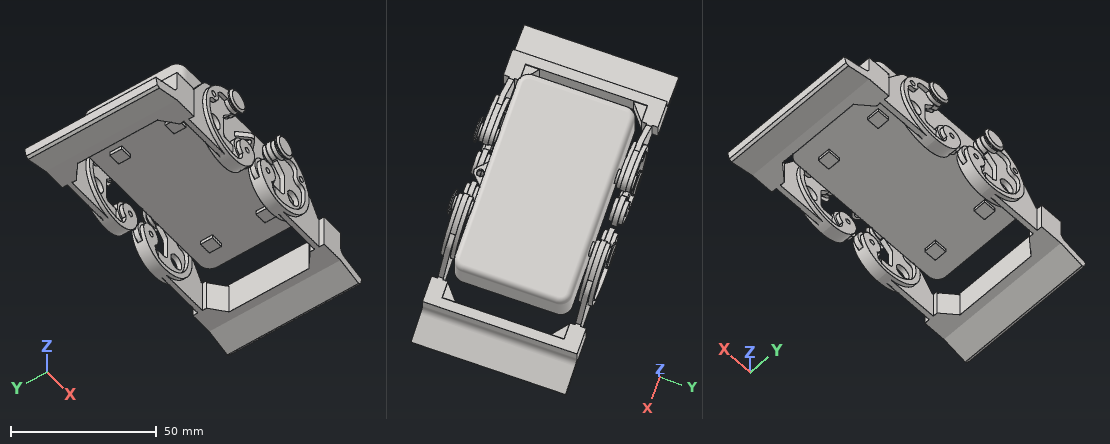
import cadquery as cq
import math


UP = 90
LEFT = 180
DOWN = -90
FULL_TURN = 360

hood_length = 73.4
hood_width = 42.9
hood_bottom = 16.7
hood_top = 34.5
hood_corner_radius = 4.4
hood_top_radius = 2.1

wall_overlap = 1.2

foot_width = 5.1
foot_length = 5.1
foot_height = 1.5
foot_x = 26.0
foot_y = 11.8

eye_bottom = 22.3
eye_thickness = 2.2
eye_half_width = 5.1
eye_tip_radius = 1.8
eye_hole_radius = 1.3
eye_hole_offset = 1.9

handle_half_length = 59.2
handle_width = 56.2
bar_outer = 47.0
bar_inner = 43.5
arm_end = 37.4
arm_inner_y = 22.1
handle_height = 13.9
grip_angle = math.radians(15)
grip_thickness = 4.1
grip_tip_chamfer = 1.0
grip_root_height = 4.3
grip_root_radius = 3.1
gusset_length = 5.1
gusset_drop = 1.0

lever_y = 25.0
plate_thickness = 2.0
rim_thickness = 5.1

disc_x = -13.5
disc_z = 15.6
disc_radius = 16.0
rim_inner_radius = 13.9
disc_bottom = disc_z - disc_radius

pin_z = 27.8
pin_radius = 2.6
pin_head_radius = 4.6
pin_head_thickness = 1.1
pin_head_chamfer_height = 0.6
pin_head_chamfer_width = 1.0
pin_end_y = 29.5
rim_pin_radius = disc_z + disc_radius - pin_z
plate_step = 0.4

roller_x = -5.9
roller_z = 10.4
roller_hole_radius = 1.1
plate_roller_radius = 5.5
rim_roller_radius = 4.3

large_hole = (-22.5, 11.6)
large_hole_radius = 3.1
small_hole = (-25.1, 22.4)
small_hole_radius = 1.12

slope_foot_x = -36.9
shoulder = (-28.3, 26.5)
shoulder_radius = 4.6
ridge_angle = 131
window_x = -17.5
window_bottom = 8.5
window_corner_radius = 1.9
window_slope_start = 19.0
window_slope_end = (-13.3, 22.8)
window_inner_x = -12.0

roller_dx = roller_x - disc_x
roller_rise = roller_z - disc_bottom
hook_radius = (roller_dx**2 + roller_rise**2 - rim_roller_radius**2) / (
    2 * (roller_rise - rim_roller_radius)
)
hook_center_z = disc_bottom + hook_radius

hook_inner_low = (-12.4, 1.8)
hook_inner_mid = (-9.5, 3.3)
hook_inner_end = (-8.6, 6.6)

rim_arc_end_angle = 172.5
rim_shelf_corner = (-26.6, 19.2)
rim_shelf_end = (-25.2, 19.8)
rim_cove_mid = (-23.1, 20.7)
rim_cove_end = (-22.5, 22.7)
rim_top_corner = (-21.7, 26.0)
rim_top_end = (-20.1, 26.6)


def disc_point(radius, degrees):
    """Point about the centre of the lever round, angle from +X towards +Z."""
    a = math.radians(degrees)
    return (disc_x + radius * math.cos(a), disc_z + radius * math.sin(a))


def hook_point(degrees):
    """Point on the outer curve of the hook."""
    a = math.radians(degrees)
    return (disc_x + hook_radius * math.cos(a), hook_center_z + hook_radius * math.sin(a))


def layer(sketch, thickness):
    """Extrude an XZ outline evenly about the middle plane of the front lever."""
    return sketch.extrude(thickness / 2, both=True).translate((0, -lever_y, 0))


def lever_cylinder(center, radius, thickness):
    return layer(cq.Workplane("XZ").center(*center).circle(radius), thickness)


def hook_outline(sketch):
    """Continue an outline from the lowest rim point round the hook to its inner edge."""
    end_angle = math.degrees(math.atan2(roller_z - hook_center_z, roller_dx))
    return (
        sketch.threePointArc(hook_point((end_angle + DOWN) / 2), hook_point(end_angle))
        .lineTo(roller_x, roller_z)
        .lineTo(*hook_inner_end)
        .threePointArc(hook_inner_mid, hook_inner_low)
    )


def make_hood():
    hood = (
        cq.Workplane("XY")
        .workplane(offset=hood_bottom)
        .rect(hood_length, hood_width)
        .extrude(hood_top - hood_bottom)
        .edges("|Z")
        .fillet(hood_corner_radius)
        .faces(">Z")
        .edges()
        .fillet(hood_top_radius)
    )
    feet = (
        cq.Workplane("XY")
        .workplane(offset=hood_bottom - foot_height)
        .rect(2 * foot_x, 2 * foot_y, forConstruction=True)
        .vertices()
        .rect(foot_length, foot_width)
        .extrude(foot_height)
    )
    return hood.union(feet)


def make_eye():
    wall_y = -hood_width / 2
    root_y = wall_y + wall_overlap
    eye = (
        cq.Workplane("XY")
        .workplane(offset=eye_bottom)
        .moveTo(-eye_half_width, root_y)
        .lineTo(-eye_half_width, wall_y)
        .lineTo(0, wall_y - eye_half_width)
        .lineTo(eye_half_width, wall_y)
        .lineTo(eye_half_width, root_y)
        .close()
        .extrude(eye_thickness)
        .edges("|Z and <Y")
        .fillet(eye_tip_radius)
    )
    hole = (
        cq.Workplane("XY")
        .workplane(offset=eye_bottom)
        .center(0, wall_y - eye_hole_offset)
        .circle(eye_hole_radius)
        .extrude(eye_thickness)
    )
    return eye.cut(hole)


def fillet_corner(solid, corner, radius):
    """Round the edge along Y that stands on an XZ corner."""
    near_corner = cq.NearestToPointSelector((corner[0], -lever_y, corner[1]))
    return solid.edges("|Y").edges(near_corner).fillet(radius)


def make_plate():
    """Thin plate that carries the rim and reaches the handle."""
    plate_top_radius = disc_radius + plate_step
    foot_dx = math.sqrt(disc_radius**2 - disc_z**2)
    foot_angle = math.degrees(math.atan2(-disc_z, -foot_dx))
    sketch = (
        cq.Workplane("XZ")
        .moveTo(-bar_inner, 0)
        .lineTo(disc_x - foot_dx, 0)
        .threePointArc(disc_point(disc_radius, (foot_angle + DOWN) / 2), (disc_x, disc_bottom))
    )
    window_corner = (window_x, window_bottom)
    sketch = (
        hook_outline(sketch)
        .lineTo(window_inner_x, window_bottom)
        .lineTo(*window_corner)
        .lineTo(window_x, window_slope_start)
        .lineTo(*window_slope_end)
        .lineTo(disc_x, pin_z)
        .lineTo(*disc_point(plate_top_radius, UP))
        .threePointArc(
            disc_point(plate_top_radius, (UP + ridge_angle) / 2),
            disc_point(plate_top_radius, ridge_angle),
        )
        .lineTo(*shoulder)
        .lineTo(slope_foot_x, handle_height)
        .lineTo(-bar_inner, handle_height)
        .close()
    )
    plate = layer(sketch, plate_thickness)
    plate = fillet_corner(plate, window_corner, window_corner_radius)
    plate = fillet_corner(plate, (window_x, window_slope_start), window_corner_radius)
    plate = fillet_corner(plate, shoulder, shoulder_radius)
    pin_end = lever_cylinder((disc_x, pin_z), rim_pin_radius + plate_step, plate_thickness)
    roller = lever_cylinder((roller_x, roller_z), plate_roller_radius, plate_thickness)
    return plate.union(pin_end).union(roller)


def make_rim():
    """Raised C-shaped rim from the pin, round the disc and along the hook."""
    sketch = (
        cq.Workplane("XZ")
        .moveTo(*disc_point(disc_radius, UP))
        .threePointArc(disc_point(disc_radius, LEFT), (disc_x, disc_bottom))
    )
    arc_start = math.degrees(math.atan2(hook_inner_low[1] - disc_z, hook_inner_low[0] - disc_x))
    sketch = (
        hook_outline(sketch)
        .threePointArc(
            disc_point(rim_inner_radius, (arc_start + FULL_TURN + rim_arc_end_angle) / 2),
            disc_point(rim_inner_radius, rim_arc_end_angle),
        )
        .threePointArc(rim_shelf_corner, rim_shelf_end)
        .threePointArc(rim_cove_mid, rim_cove_end)
        .threePointArc(rim_top_corner, rim_top_end)
        .lineTo(disc_x, rim_top_end[1])
        .close()
    )
    return (
        layer(sketch, rim_thickness)
        .union(lever_cylinder((disc_x, pin_z), rim_pin_radius, rim_thickness))
        .union(lever_cylinder((roller_x, roller_z), rim_roller_radius, rim_thickness))
    )


def make_pin():
    """Headed pin reaching from inside the hood wall out through the lever."""
    root_y = hood_width / 2 - wall_overlap
    pin = (
        cq.Workplane("XZ", origin=(disc_x, -root_y, pin_z))
        .circle(pin_radius)
        .extrude(pin_end_y - root_y)
    )
    head = (
        cq.Workplane("XZ", origin=(disc_x, pin_head_thickness - pin_end_y, pin_z))
        .circle(pin_head_radius)
        .extrude(pin_head_thickness)
        .faces("<Y")
        .chamfer(pin_head_chamfer_height, pin_head_chamfer_width)
    )
    return pin.union(head)


def make_lever():
    lever = make_plate().union(make_rim())
    holes = [
        (large_hole, large_hole_radius),
        (small_hole, small_hole_radius),
        ((roller_x, roller_z), roller_hole_radius),
    ]
    for center, radius in holes:
        lever = lever.cut(lever_cylinder(center, radius, rim_thickness))
    return lever.union(make_pin())


def make_handle():
    """Left handle: a bar with two arms, corner gussets and a drooping grip."""
    drop = math.tan(grip_angle)
    top_corner = (-handle_half_length, grip_root_height - drop * (handle_half_length - bar_outer))
    low_corner = (
        top_corner[0] + grip_thickness * math.sin(grip_angle),
        top_corner[1] - grip_thickness * math.cos(grip_angle),
    )
    profile = (
        cq.Workplane("XZ", origin=(0, handle_width / 2, 0))
        .moveTo(-arm_end, 0)
        .lineTo(-arm_end, handle_height)
        .lineTo(-bar_outer, handle_height)
        .lineTo(-bar_outer, grip_root_height)
        .lineTo(*top_corner)
        .lineTo(*low_corner)
        .lineTo(low_corner[0] - low_corner[1] / drop, 0)
        .close()
        .extrude(handle_width)
    )
    root = cq.NearestToPointSelector((-bar_outer, 0, grip_root_height))
    tip = cq.NearestToPointSelector((low_corner[0], 0, low_corner[1]))
    handle = profile.edges("|Y").edges(root).fillet(grip_root_radius)
    handle = handle.edges("|Y").edges(tip).chamfer(grip_tip_chamfer)
    recess = (
        cq.Workplane("XY")
        .moveTo(-bar_inner, -arm_inner_y)
        .lineTo(-arm_end, -arm_inner_y)
        .lineTo(-arm_end, arm_inner_y)
        .lineTo(-bar_inner, arm_inner_y)
        .close()
        .extrude(handle_height)
    )
    gusset = (
        cq.Workplane("XY")
        .moveTo(-bar_inner, -arm_inner_y)
        .lineTo(-arm_end, -arm_inner_y)
        .lineTo(-bar_inner, gusset_length - arm_inner_y)
        .close()
        .extrude(handle_height - gusset_drop)
    )
    return handle.cut(recess).union(gusset).union(gusset.mirror("XZ"))


hood = make_hood().union(make_eye())
left_front = make_lever()
left = left_front.union(left_front.mirror("XZ")).union(make_handle())
result = hood.union(left).union(left.mirror("YZ")).clean()